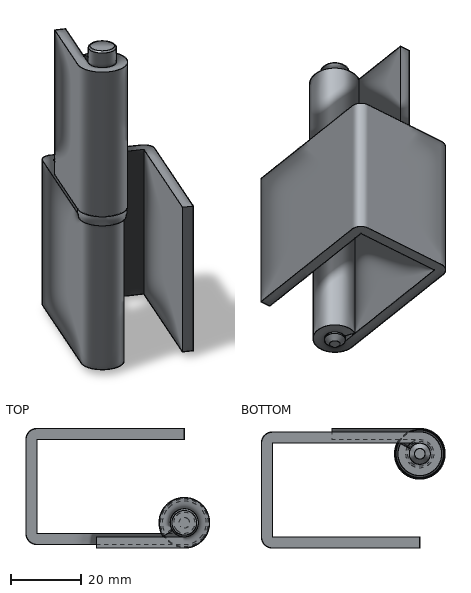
import cadquery as cq
import math


sheet = 3.2
leaf_height = 45.0
bend_radius = sheet
curl_gap = 0.1

upper_pin_radius = 4.0
lower_pin_radius = 3.0
pin_length = 100.0
top_chamfer = 0.5
tip_chamfer = 1.5
tip_projection = 2.0

washer_thickness = 3.0
washer_radius = 7.0
washer_bulge = 0.25

upper_leaf_reach = 25.0
bracket_reach = 45.0
bracket_depth = 33.0

lower_leaf_bottom = tip_projection
washer_bottom = lower_leaf_bottom + leaf_height
upper_leaf_bottom = washer_bottom + washer_thickness


def polar(radius, degrees):
    """Point at a radius from the pin axis and an angle from +X."""
    angle = math.radians(degrees)
    return (radius * math.cos(angle), radius * math.sin(angle))


def curled_leaf(bore_radius, flat_points, bottom):
    """Leaf curled around the pin.

    flat_points run from the inner face of the curl, around the flat sheet,
    and back to the start of the outer face of the curl.
    """
    outer_radius = bore_radius + sheet
    curl_end_angle = 180 + math.degrees(math.asin((bore_radius - curl_gap) / outer_radius))
    middle_angle = (curl_end_angle - 90) / 2
    return (
        cq.Workplane("XY", origin=(0, 0, bottom))
        .moveTo(0, -outer_radius)
        .threePointArc(polar(outer_radius, middle_angle), polar(outer_radius, curl_end_angle))
        .lineTo(*polar(bore_radius, curl_end_angle))
        .threePointArc(polar(bore_radius, middle_angle), (0, -bore_radius))
        .polyline(flat_points, includeCurrent=True)
        .close()
        .extrude(leaf_height)
    )


def make_upper_leaf():
    """Single flat plate reaching toward -X from the curl."""
    inner_face = -upper_pin_radius
    flat_points = [
        (-upper_leaf_reach, inner_face),
        (-upper_leaf_reach, inner_face - sheet),
    ]
    return curled_leaf(upper_pin_radius, flat_points, upper_leaf_bottom)


def make_lower_bracket():
    """U-shaped channel whose front wall is curled around the pin."""
    inner_front = -lower_pin_radius
    outer_front = inner_front - sheet
    outer_back = outer_front + bracket_depth
    inner_back = outer_back - sheet
    outer_side = -bracket_reach
    inner_side = outer_side + sheet
    flat_points = [
        (inner_side, inner_front),
        (inner_side, inner_back),
        (0, inner_back),
        (0, outer_back),
        (outer_side, outer_back),
        (outer_side, outer_front),
    ]
    channel = curled_leaf(lower_pin_radius, flat_points, lower_leaf_bottom)
    return channel.faces("<X").edges("|Z").fillet(bend_radius)


def make_washer():
    """Ring with a bulging rim, resting on the curl of the lower bracket."""
    edge_radius = washer_radius - washer_bulge
    return (
        cq.Workplane("XZ")
        .moveTo(upper_pin_radius, washer_bottom)
        .lineTo(edge_radius, washer_bottom)
        .threePointArc(
            (washer_radius, washer_bottom + washer_thickness / 2),
            (edge_radius, upper_leaf_bottom),
        )
        .lineTo(upper_pin_radius, upper_leaf_bottom)
        .close()
        .revolve(360, (0, 0, 0), (0, 1, 0))
    )


def make_pin():
    """Stepped pin whose shoulder sits on the curl of the lower bracket."""
    lower = cq.Workplane("XY").circle(lower_pin_radius).extrude(washer_bottom)
    lower = lower.faces("<Z").chamfer(tip_chamfer)
    upper = (
        cq.Workplane("XY", origin=(0, 0, washer_bottom))
        .circle(upper_pin_radius)
        .extrude(pin_length - washer_bottom)
        .faces(">Z")
        .chamfer(top_chamfer)
    )
    return lower.union(upper)


upper_leaf = make_upper_leaf()
lower_bracket = make_lower_bracket()
washer = make_washer()
pin = make_pin()

result = cq.Compound.makeCompound(
    [upper_leaf.val(), lower_bracket.val(), washer.val(), pin.val()]
)